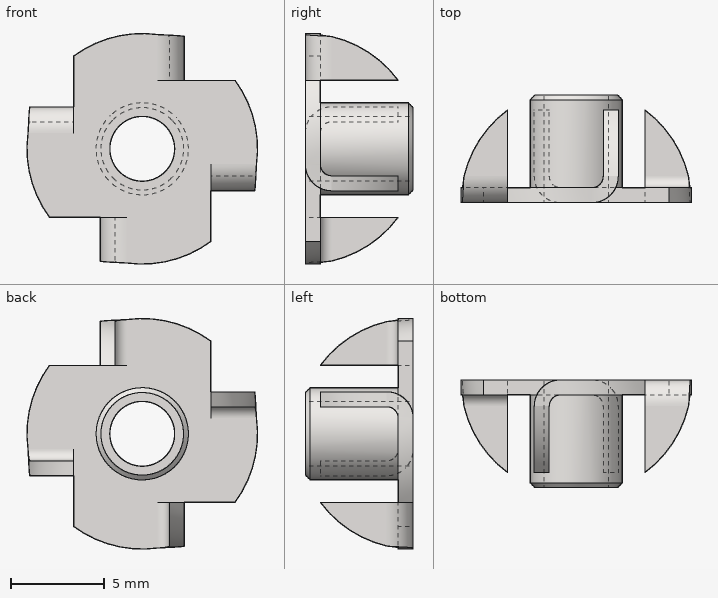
import cadquery as cq
import math

flange_radius = 6.16
sheet = 0.8
length = 5.75
barrel_radius = 2.46
barrel_chamfer = 0.26
bore_radius = 1.72
prong_count = 4
prong_root = 3.66
bend_start = 0.84
bend_inner_radius = 0.6

bend_outer_radius = bend_inner_radius + sheet
bend_middle_radius = bend_inner_radius + sheet / 2
prong_outer_x = bend_start + bend_outer_radius
prong_inner_x = bend_start + bend_inner_radius


def rim_height(offset):
    """Height of the flange circle at a given offset from its centre line."""
    return math.sqrt(flange_radius**2 - offset**2)


def y_cylinder(radius, height):
    return cq.Workplane("XZ").circle(radius).extrude(-height)


def around_axis(shape, index):
    return shape.rotate((0, 0, 0), (0, 1, 0), index * 360 / prong_count)


def make_notch():
    """Corner cleared from the flange beside each prong."""
    return cq.Workplane("XY").box(
        flange_radius, sheet, flange_radius, centered=False
    ).translate((bend_start, 0, prong_root))


def make_bend():
    """Quarter turn of sheet whose rim tapers from the flange to the blade."""
    start_rim = rim_height(bend_start)
    end_rim = rim_height(bend_outer_radius)
    middle_y = sheet / 2
    path = (
        cq.Workplane("XY", origin=(bend_start, middle_y, prong_root))
        .radiusArc((bend_middle_radius, bend_middle_radius), -bend_middle_radius)
    )
    start_section = cq.Workplane("YZ", origin=(bend_start, 0, 0)).polyline([
        (0, prong_root),
        (sheet, prong_root),
        (sheet, start_rim),
        (0, start_rim),
    ]).close()
    end_section = cq.Workplane("XZ", origin=(0, bend_outer_radius, 0)).polyline([
        (prong_outer_x, prong_root),
        (prong_inner_x, prong_root),
        (prong_inner_x, end_rim),
        (prong_outer_x, end_rim),
    ]).close()
    sections = start_section.add(end_section.wire().val()).toPending()
    return sections.sweep(path, multisection=True)


def make_blade():
    """Pointed prong with a straight side and a circular outer edge."""
    tip_y = rim_height(prong_root)
    mid_y = (bend_outer_radius + tip_y) / 2
    return (
        cq.Workplane("YZ", origin=(prong_inner_x, 0, 0))
        .moveTo(bend_outer_radius, prong_root)
        .lineTo(bend_outer_radius, rim_height(bend_outer_radius))
        .threePointArc((mid_y, rim_height(mid_y)), (tip_y, prong_root))
        .close()
        .extrude(sheet)
    )


flange = y_cylinder(flange_radius, sheet)
notch = make_notch()
for index in range(prong_count):
    flange = flange.cut(around_axis(notch, index))

barrel = y_cylinder(barrel_radius, length).faces(">Y").chamfer(barrel_chamfer)
body = flange.union(barrel)

bend = make_bend()
blade = make_blade()
for index in range(prong_count):
    body = body.union(around_axis(bend, index)).union(around_axis(blade, index))

result = body.cut(y_cylinder(bore_radius, length))